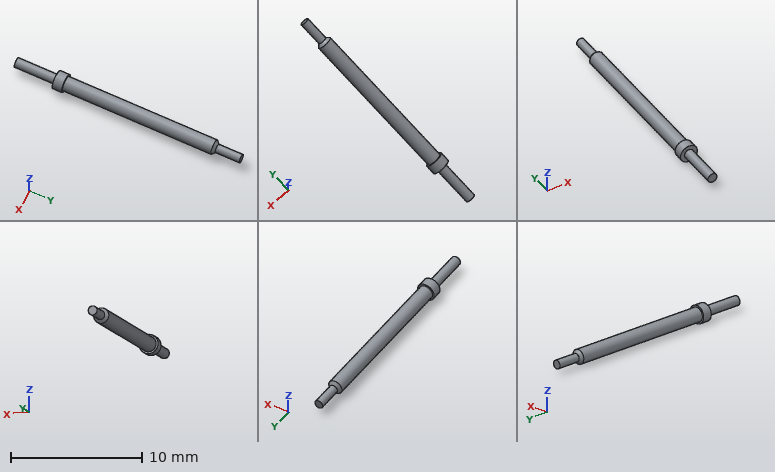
import cadquery as cq

total_length = 19.1
tail_length = 3.4
collar_length = 0.8
tip_length = 2.05

tail_radius = 0.8 / 2
collar_radius = 1.5 / 2
body_radius = 1.2 / 2
tip_radius = 0.7 / 2

chamfer_length = body_radius - tip_radius

tail_end = -total_length / 2
collar_front = tail_end + tail_length
collar_back = collar_front + collar_length
tip_end = total_length / 2
tip_start = tip_end - tip_length
chamfer_start = tip_start - chamfer_length

half_profile = [
    (0, tail_end),
    (tail_radius, tail_end),
    (tail_radius, collar_front),
    (collar_radius, collar_front),
    (collar_radius, collar_back),
    (body_radius, collar_back),
    (body_radius, chamfer_start),
    (tip_radius, tip_start),
    (tip_radius, tip_end),
    (0, tip_end),
]

result = (
    cq.Workplane("XY")
    .polyline(half_profile)
    .close()
    .revolve(360, (0, 0, 0), (0, 1, 0))
)